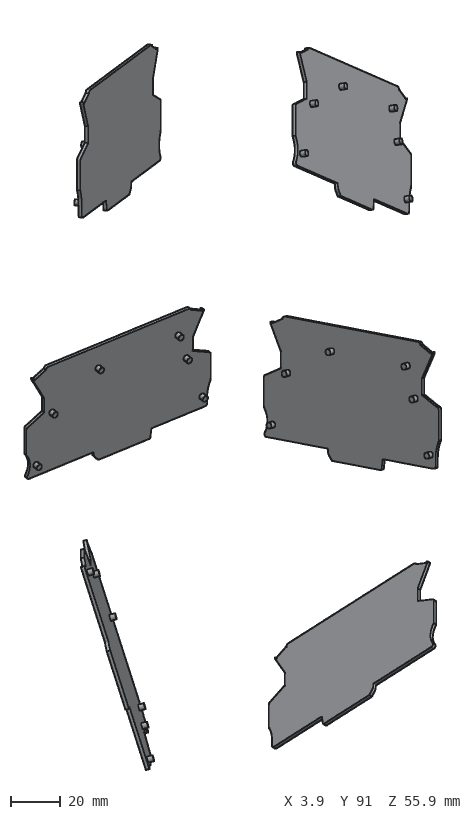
import cadquery as cq
import math

WIDTH = 91.0
HEIGHT = 55.85
PLATE_THICKNESS = 1.5
PIN_LENGTH = 2.4
PIN_DIAMETER = 2.6

HALF_WIDTH = WIDTH / 2
TOTAL_DEPTH = PLATE_THICKNESS + PIN_LENGTH
PLATE_FRONT_X = TOTAL_DEPTH / 2 - PLATE_THICKNESS

TOP_Z = HEIGHT / 2
FOOT_HEIGHT = 4.7
FOOT_Z = -HEIGHT / 2
BASE_Z = FOOT_Z + FOOT_HEIGHT
WAIST_BOTTOM_Z = TOP_Z - 21.6
SIDE_BOTTOM_Z = TOP_Z - 39.0

TOP_HALF_WIDTH = 34.5
TOP_CORNER_WIDTH = 1.4
TOP_CORNER_DROP = 1.1
WAIST_HALF_WIDTH = 36.7
EAR_SLOPE = 0.5
EAR_ROOT_HALF_WIDTH = 41.45
EAR_TIP_HALF_WIDTH = 42.15
EAR_TIP_DROP = 3.75
NIB_HEIGHT = 0.55
SHOULDER_SLOPE = {1: 0.5, -1: 0.485}
SHOULDER_RADIUS = 1.2

HOLLOW_RADIUS = 9.5
HOLLOW_END_Y = HALF_WIDTH - 0.5
HOLLOW_END_Z = BASE_Z + 1.65
TOE_END_Y = HALF_WIDTH - 1.45

LOWER_EDGE_Y = -43.75
LOWER_EDGE_TOP_Z = TOP_Z - 46.6
LOWER_CORNER_RADIUS = 1.2

FOOT_LEFT_Y = 12.2
FOOT_RIGHT_Y = -16.25
FOOT_RIGHT_TAPER = 0.6
FOOT_CHAMFER_WIDTH = 2.2
FOOT_CHAMFER_HEIGHT = 2.7
FOOT_CHAMFER_RADIUS = 3.0
FOOT_ROOT_RADIUS = 0.4
FOOT_CORNER_RADIUS = 0.8

PIN_PLACES = [
    (10.15, 10.6),
    (-29.2, 10.6),
    (32.95, 23.0),
    (-33.3, 23.5),
    (40.8, 45.5),
    (-41.1, 45.5),
]


def upper_points(side):
    """Points of the upper outline on one side (+1 or -1 in Y), from the top down."""
    corner = (TOP_HALF_WIDTH + TOP_CORNER_WIDTH, TOP_Z - TOP_CORNER_DROP)
    corner_radius = (TOP_CORNER_WIDTH**2 + TOP_CORNER_DROP**2) / (2 * TOP_CORNER_DROP)
    half_turn = math.atan2(TOP_CORNER_WIDTH, corner_radius - TOP_CORNER_DROP) / 2
    corner_mid = (
        TOP_HALF_WIDTH + corner_radius * math.sin(half_turn),
        TOP_Z - corner_radius * (1 - math.cos(half_turn)),
    )
    ear_root_z = corner[1] - EAR_SLOPE * (EAR_ROOT_HALF_WIDTH - corner[0])
    ear_root = (EAR_ROOT_HALF_WIDTH, ear_root_z)
    ear_tip = (EAR_TIP_HALF_WIDTH, TOP_Z - EAR_TIP_DROP)
    nib_top = (
        (ear_root[0] + ear_tip[0]) / 2,
        (ear_root[1] + ear_tip[1]) / 2 + NIB_HEIGHT,
    )
    waist_top = (WAIST_HALF_WIDTH, ear_tip[1] - (ear_tip[0] - WAIST_HALF_WIDTH) / EAR_SLOPE)
    waist_bottom = (WAIST_HALF_WIDTH, WAIST_BOTTOM_Z)
    shoulder_drop = SHOULDER_SLOPE[side] * (HALF_WIDTH - WAIST_HALF_WIDTH)
    shoulder = (HALF_WIDTH, WAIST_BOTTOM_Z - shoulder_drop)
    points = {
        "top": (TOP_HALF_WIDTH, TOP_Z),
        "corner_mid": corner_mid,
        "corner": corner,
        "ear_root": ear_root,
        "nib_top": nib_top,
        "ear_tip": ear_tip,
        "waist_top": waist_top,
        "waist_bottom": waist_bottom,
        "shoulder": shoulder,
        "side_bottom": (HALF_WIDTH, SIDE_BOTTOM_Z),
    }
    return {name: (side * y, z) for name, (y, z) in points.items()}


def round_corner(body, point, radius):
    """Round the plate edge that runs along X through the given (y, z) point."""
    edge = cq.selectors.NearestToPointSelector((PLATE_FRONT_X + PLATE_THICKNESS / 2, *point))
    return body.edges("|X").edges(edge).fillet(radius)


def make_plate():
    left = upper_points(1)
    right = upper_points(-1)
    lower_corner = (LOWER_EDGE_Y, BASE_Z)
    foot_left_top = (FOOT_LEFT_Y, BASE_Z)
    foot_left_knee = (FOOT_LEFT_Y, FOOT_Z + FOOT_CHAMFER_HEIGHT)
    foot_right_top = (FOOT_RIGHT_Y, BASE_Z)
    foot_right_bottom = (FOOT_RIGHT_Y + FOOT_RIGHT_TAPER, FOOT_Z)

    outline = (
        cq.Workplane("YZ", origin=(PLATE_FRONT_X, 0, 0))
        .moveTo(*right["top"])
        .lineTo(*left["top"])
        .threePointArc(left["corner_mid"], left["corner"])
        .lineTo(*left["ear_root"])
        .threePointArc(left["nib_top"], left["ear_tip"])
        .lineTo(*left["waist_top"])
        .lineTo(*left["waist_bottom"])
        .lineTo(*left["shoulder"])
        .lineTo(*left["side_bottom"])
        .radiusArc((HOLLOW_END_Y, HOLLOW_END_Z), -HOLLOW_RADIUS)
        .tangentArcPoint((TOE_END_Y, BASE_Z), relative=False)
        .lineTo(*foot_left_top)
        .lineTo(*foot_left_knee)
        .lineTo(FOOT_LEFT_Y - FOOT_CHAMFER_WIDTH, FOOT_Z)
        .lineTo(*foot_right_bottom)
        .lineTo(*foot_right_top)
        .lineTo(*lower_corner)
        .lineTo(LOWER_EDGE_Y, LOWER_EDGE_TOP_Z)
        .tangentArcPoint(right["side_bottom"], relative=False)
        .lineTo(*right["shoulder"])
        .lineTo(*right["waist_bottom"])
        .lineTo(*right["waist_top"])
        .lineTo(*right["ear_tip"])
        .threePointArc(right["nib_top"], right["ear_root"])
        .lineTo(*right["corner"])
        .threePointArc(right["corner_mid"], right["top"])
        .close()
    )
    plate = outline.extrude(PLATE_THICKNESS)

    rounded_corners = [
        (left["shoulder"], SHOULDER_RADIUS),
        (right["shoulder"], SHOULDER_RADIUS),
        (lower_corner, LOWER_CORNER_RADIUS),
        (foot_left_top, FOOT_ROOT_RADIUS),
        (foot_left_knee, FOOT_CHAMFER_RADIUS),
        (foot_right_top, FOOT_ROOT_RADIUS),
        (foot_right_bottom, FOOT_CORNER_RADIUS),
    ]
    for point, radius in rounded_corners:
        plate = round_corner(plate, point, radius)
    return plate


def make_pins():
    centres = [(y, TOP_Z - drop) for y, drop in PIN_PLACES]
    return (
        cq.Workplane("YZ", origin=(PLATE_FRONT_X, 0, 0))
        .pushPoints(centres)
        .circle(PIN_DIAMETER / 2)
        .extrude(-PIN_LENGTH)
    )


result = make_plate().union(make_pins())